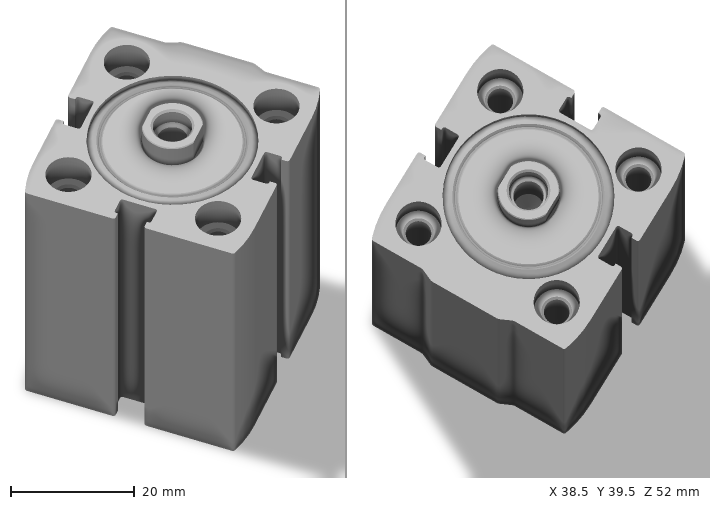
import cadquery as cq
import math

HOUSING_HEIGHT = 48.35
HALF_WIDTH = 19.25
SIDE_FLAT_HALF = 12.75
SIDE_ARC_RADIUS = 20.0
CORNER_FILLET = 0.5

PAD_HEIGHT = 1.05
PAD_TOP_HALF = 6.3
PAD_BASE_HALF = 8.6
PAD_FILLET = 1.55

SLOT_MOUTH_WIDTH = 5.05
SLOT_INNER_WIDTH = 6.4
SLOT_DEPTH = 4.4
SLOT_LIP = 1.35
SLOT_FILLET = 0.4
SLOT_MOUTH_FILLET = 0.4

HOLE_PITCH = 26.0
HOLE_DIAMETER = 4.15
HOLE_CHAMFER_DIAMETER = 4.95
COUNTERBORE_DIAMETER = 7.5
COUNTERBORE_DEPTH = 5.2

RECESS_DIAMETER = 27.8
RECESS_DEPTH = 1.05
RING_DIAMETER = 24.65
GROOVE_OUTER_DIAMETER = 23.85
GROOVE_INNER_DIAMETER = 23.35
GROOVE_DEPTH = 0.45
PLATE_DIAMETER = 22.65
PLATE_DEPTH = 0.2

ROD_DIAMETER = 10.0
ROD_TOP = 52.0
ROD_BOTTOM = 31.2
ROD_CHAMFER = 0.15
ROD_ACROSS_FLATS = 9.0
ROD_FLATS_BOTTOM = 47.85
FLAT_CUT_MARGIN = 0.5
ROD_HOLE_CHAMFER = 0.2

MOUTH_DIAMETER = 7.05
RELIEF_DIAMETER = 6.4
RELIEF_DEPTH = 2.8
DRILL_DIAMETER = 4.95
DRILL_DEPTH = 10.4
DRILL_HALF_ANGLE = math.radians(59)


def turned(points):
    """Solid of revolution about Z from (radius, height) points."""
    return cq.Workplane("XZ").polyline(points).close().revolve(360, (0, 0), (0, 1))


def side_arc_inset(y):
    """Distance the rounded X side falls back from the flat part at the given Y."""
    along = abs(y) - SIDE_FLAT_HALF
    return SIDE_ARC_RADIUS - math.sqrt(SIDE_ARC_RADIUS**2 - along**2)


def outer_block():
    pad_y = HALF_WIDTH + PAD_HEIGHT
    corner_x = HALF_WIDTH - side_arc_inset(HALF_WIDTH)
    mid_y = (SIDE_FLAT_HALF + HALF_WIDTH) / 2
    mid_x = HALF_WIDTH - side_arc_inset(mid_y)
    return (
        cq.Workplane("XY")
        .moveTo(-corner_x, -HALF_WIDTH)
        .lineTo(corner_x, -HALF_WIDTH)
        .threePointArc((mid_x, -mid_y), (HALF_WIDTH, -SIDE_FLAT_HALF))
        .lineTo(HALF_WIDTH, SIDE_FLAT_HALF)
        .threePointArc((mid_x, mid_y), (corner_x, HALF_WIDTH))
        .lineTo(PAD_BASE_HALF, HALF_WIDTH)
        .lineTo(PAD_TOP_HALF, pad_y)
        .lineTo(-PAD_TOP_HALF, pad_y)
        .lineTo(-PAD_BASE_HALF, HALF_WIDTH)
        .lineTo(-corner_x, HALF_WIDTH)
        .threePointArc((-mid_x, mid_y), (-HALF_WIDTH, SIDE_FLAT_HALF))
        .lineTo(-HALF_WIDTH, -SIDE_FLAT_HALF)
        .threePointArc((-mid_x, -mid_y), (-corner_x, -HALF_WIDTH))
        .close()
        .extrude(HOUSING_HEIGHT)
    )


def upright_edge(x, y):
    """Selector for the vertical edge at (x, y)."""
    return cq.selectors.NearestToPointSelector((x, y, HOUSING_HEIGHT / 2))


def round_corners(block):
    corner_x = HALF_WIDTH - side_arc_inset(HALF_WIDTH)
    for side in (-1, 1):
        for y in (-HALF_WIDTH, HALF_WIDTH):
            block = block.edges(upright_edge(side * corner_x, y)).fillet(CORNER_FILLET)
        block = block.edges(upright_edge(side * PAD_BASE_HALF, HALF_WIDTH)).fillet(PAD_FILLET)
        block = block.edges(upright_edge(side * PAD_TOP_HALF, HALF_WIDTH + PAD_HEIGHT)).fillet(PAD_FILLET)
    return block


def slot_cutter(angle):
    """T-slot along Z on the -Y side, turned about Z by the angle."""
    inner_depth = SLOT_DEPTH - SLOT_LIP
    mouth = cq.Workplane("XY").box(SLOT_MOUTH_WIDTH, SLOT_DEPTH, HOUSING_HEIGHT, centered=(True, False, False))
    inner = (
        cq.Workplane("XY")
        .box(SLOT_INNER_WIDTH, inner_depth, HOUSING_HEIGHT, centered=(True, False, False))
        .edges("|Z")
        .fillet(SLOT_FILLET)
        .translate((0, SLOT_LIP, 0))
    )
    return mouth.union(inner).translate((0, -HALF_WIDTH, 0)).rotate((0, 0, 0), (0, 0, 1), angle)


def round_slot_mouths(housing):
    half_mouth = SLOT_MOUTH_WIDTH / 2
    for side in (-1, 1):
        housing = housing.edges(upright_edge(side * half_mouth, -HALF_WIDTH)).fillet(SLOT_MOUTH_FILLET)
        for end in (-1, 1):
            housing = housing.edges(upright_edge(side * HALF_WIDTH, end * half_mouth)).fillet(SLOT_MOUTH_FILLET)
    return housing


def mounting_hole_cutter():
    hole_radius = HOLE_DIAMETER / 2
    chamfer_radius = HOLE_CHAMFER_DIAMETER / 2
    bore_radius = COUNTERBORE_DIAMETER / 2
    floor = HOUSING_HEIGHT - COUNTERBORE_DEPTH
    return turned([
        (0, 0),
        (hole_radius, 0),
        (hole_radius, floor - (chamfer_radius - hole_radius)),
        (chamfer_radius, floor),
        (bore_radius, floor),
        (bore_radius, HOUSING_HEIGHT),
        (0, HOUSING_HEIGHT),
    ])


def end_relief_cutter():
    plate_z = HOUSING_HEIGHT - PLATE_DEPTH
    groove_z = HOUSING_HEIGHT - GROOVE_DEPTH
    return turned([
        (0, HOUSING_HEIGHT),
        (0, plate_z),
        (PLATE_DIAMETER / 2, plate_z),
        (GROOVE_INNER_DIAMETER / 2, groove_z),
        (GROOVE_OUTER_DIAMETER / 2, groove_z),
        (RING_DIAMETER / 2, HOUSING_HEIGHT),
        (RECESS_DIAMETER / 2, HOUSING_HEIGHT - RECESS_DEPTH),
        (RECESS_DIAMETER / 2, HOUSING_HEIGHT),
    ])


def rod_hole_cutter():
    """Blind hole that seats the rod, chamfered where it meets the plate."""
    radius = ROD_DIAMETER / 2
    plate_z = HOUSING_HEIGHT - PLATE_DEPTH
    return turned([
        (0, ROD_BOTTOM),
        (radius, ROD_BOTTOM),
        (radius, plate_z - ROD_HOLE_CHAMFER),
        (radius + ROD_HOLE_CHAMFER, plate_z),
        (0, plate_z),
    ])


def make_housing():
    housing = round_corners(outer_block())
    for angle in (-90, 0, 90):
        housing = housing.cut(slot_cutter(angle))
    housing = round_slot_mouths(housing)
    for x in (-HOLE_PITCH / 2, HOLE_PITCH / 2):
        for y in (-HOLE_PITCH / 2, HOLE_PITCH / 2):
            housing = housing.cut(mounting_hole_cutter().translate((x, y, 0)))
    return housing.cut(end_relief_cutter()).cut(rod_hole_cutter())


def rod_end_hole_cutter():
    mouth_radius = MOUTH_DIAMETER / 2
    relief_radius = RELIEF_DIAMETER / 2
    drill_radius = DRILL_DIAMETER / 2
    relief_z = ROD_TOP - RELIEF_DEPTH
    step_height = (relief_radius - drill_radius) / math.tan(DRILL_HALF_ANGLE)
    tip_height = drill_radius / math.tan(DRILL_HALF_ANGLE)
    drill_z = ROD_TOP - DRILL_DEPTH
    return turned([
        (0, ROD_TOP),
        (mouth_radius, ROD_TOP),
        (relief_radius, ROD_TOP - (mouth_radius - relief_radius)),
        (relief_radius, relief_z),
        (drill_radius, relief_z - step_height),
        (drill_radius, drill_z),
        (0, drill_z - tip_height),
    ])


def flat_cutter(side):
    """Block that leaves a wrench flat on one X side, with a sloping lower end."""
    flat_x = ROD_ACROSS_FLATS / 2
    outer_x = ROD_DIAMETER / 2 + FLAT_CUT_MARGIN
    profile = [
        (side * flat_x, ROD_FLATS_BOTTOM),
        (side * flat_x, ROD_TOP),
        (side * outer_x, ROD_TOP),
        (side * outer_x, ROD_FLATS_BOTTOM - (outer_x - flat_x)),
    ]
    return cq.Workplane("XZ").polyline(profile).close().extrude(ROD_DIAMETER / 2, both=True)


def make_rod():
    rod = (
        cq.Workplane("XY", origin=(0, 0, ROD_BOTTOM))
        .circle(ROD_DIAMETER / 2)
        .extrude(ROD_TOP - ROD_BOTTOM)
        .faces(">Z")
        .chamfer(ROD_CHAMFER)
    )
    for side in (-1, 1):
        rod = rod.cut(flat_cutter(side))
    return rod.cut(rod_end_hole_cutter())


housing = make_housing()
rod = make_rod()
result = cq.Compound.makeCompound([housing.val(), rod.val()])